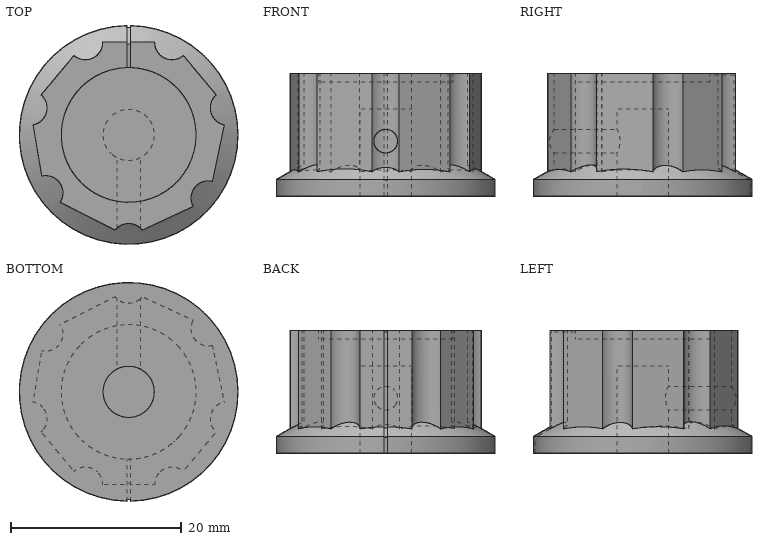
import cadquery as cq
import math

skirt_radius = 12.85
rim_height = 2.0
cone_angle = 30.0
cone_top_radius = 9.0

knob_height = 14.47
flute_radius = 2.03
grip_faces = [
    ((-3.05, 10.9), (3.05, 10.9)),
    ((6.42, 9.33), (10.28, 4.7)),
    ((11.23, 1.18), (9.85, -5.45)),
    ((7.58, -8.4), (1.6, -11.18)),
    ((-1.6, -11.18), (-8.05, -7.92)),
    ((-10.2, -4.83), (-11.23, 1.18)),
    ((-10.28, 4.7), (-6.42, 9.33)),
]
face_distance = grip_faces[0][0][1]

recess_radius = 7.92
recess_depth = 1.0

groove_width = 0.4
groove_depth = 0.2

bore_radius = 3.0
bore_depth = 10.28
screw_radius = 1.4
screw_height = 6.5


def cone_height(radius):
    """Height of the skirt's cone at a distance from the axis."""
    return rim_height + (skirt_radius - radius) * math.tan(math.radians(cone_angle))


def make_skirt():
    return (
        cq.Workplane("XZ")
        .moveTo(0, 0)
        .lineTo(skirt_radius, 0)
        .lineTo(skirt_radius, rim_height)
        .lineTo(cone_top_radius, cone_height(cone_top_radius))
        .lineTo(0, cone_height(cone_top_radius))
        .close()
        .revolve(360, (0, 0), (0, 1))
    )


def make_grip():
    first_point = grip_faces[0][0]
    outline = cq.Workplane("XY").moveTo(*first_point)
    for index, (_, face_end) in enumerate(grip_faces):
        next_start = grip_faces[(index + 1) % len(grip_faces)][0]
        outline = outline.lineTo(*face_end).radiusArc(next_start, -flute_radius)
    return outline.close().extrude(knob_height)


def make_recess():
    floor = knob_height - recess_depth
    return cq.Workplane("XY").workplane(offset=floor).circle(recess_radius).extrude(recess_depth)


def make_pointer_groove():
    """Groove of even depth that runs over the top, down the +Y face and down the skirt."""
    groove_face = face_distance - groove_depth
    groove_rim = skirt_radius - groove_depth
    groove_top = knob_height - groove_depth
    cone_drop = groove_depth / math.cos(math.radians(cone_angle))
    return (
        cq.Workplane("YZ")
        .moveTo(0, groove_top)
        .lineTo(groove_face, groove_top)
        .lineTo(groove_face, cone_height(groove_face) - cone_drop)
        .lineTo(groove_rim, cone_height(groove_rim) - cone_drop)
        .lineTo(groove_rim, 0)
        .lineTo(skirt_radius, 0)
        .lineTo(skirt_radius, knob_height)
        .lineTo(0, knob_height)
        .close()
        .extrude(groove_width / 2, both=True)
    )


def make_shaft_bore():
    return cq.Workplane("XY").circle(bore_radius).extrude(bore_depth)


def make_screw_hole():
    return (
        cq.Workplane("XZ")
        .center(0, screw_height)
        .circle(screw_radius)
        .extrude(skirt_radius)
    )


result = (
    make_skirt()
    .union(make_grip())
    .cut(make_recess())
    .cut(make_pointer_groove())
    .cut(make_shaft_bore())
    .cut(make_screw_hole())
)